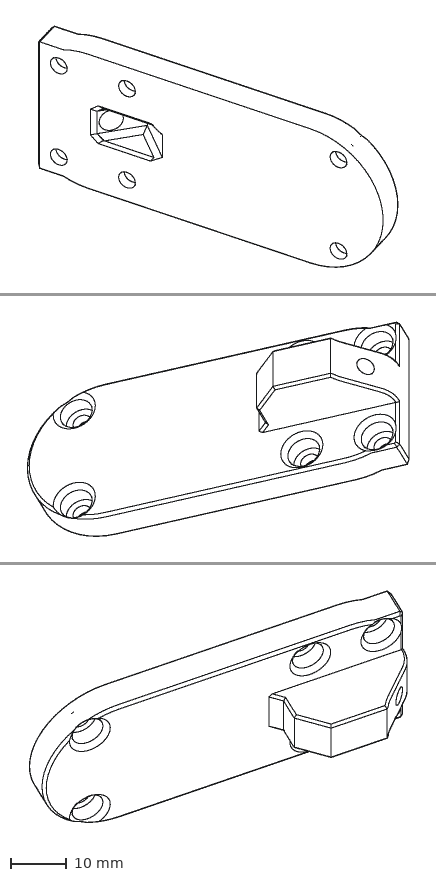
import cadquery as cq
import math

LENGTH = 71.45
HEIGHT = 30.0
DEPTH = 17.6
SLOPE_ANGLE = math.radians(45)

PLATE_THICKNESS = 6.0
END_RADIUS = HEIGHT / 2
LEFT_CENTER_X = 10.4
RIGHT_CENTER_X = LENGTH - END_RADIUS
TAB_HALF_HEIGHT = 14.15
EDGE_CHAMFER = 0.6

SCREW_X = (4.5, 18.6, 62.2)
SCREW_Z = 10.2
SCREW_DIAMETER = 3.4
HEAD_DIAMETER = 6.1
HEAD_DEPTH = 4.0
HEAD_CHAMFER = 1.0

BLOCK_HALF_WIDTH = 4.4
BLOCK_SLOPE_RISE = 8.5
BLOCK_CURL_START_X = 7.2
BLOCK_CURL_END_X = 8.35
BLOCK_CURL_END_Y = 17.2
BLOCK_CURL_RADIUS = 7.0
BLOCK_TOP_LEFT_X = 8.7
BLOCK_TOP_RIGHT_X = 19.8
BLOCK_RIGHT_X = 24.8
BLOCK_FOOT = 2.0
BLOCK_ROUND_RADIUS = 6.1
BLOCK_CHAMFER = 0.5

POCKET_LEFT_X = 11.65
POCKET_RIGHT_X = 25.9
POCKET_HALF_WIDTH = 3.6
POCKET_CORNER_CHAMFER = 1.1
POCKET_RIM_SIDE_WIDTH = 0.65
POCKET_RIM_LEFT_WIDTH = 1.15
POCKET_RIM_CORNER_RISE = 0.35
POCKET_RIM_CORNER_SLOPE = 1.2
POCKET_RIM_DEPTH = 0.5

SLANT_HOLE_SUM = 16.35
SLANT_HOLE_DIAMETER = 3.4
SLANT_BORE_DIAMETER = 4.5
SLANT_BORE_DEPTH = 7.15


def make_plate():
    straight = RIGHT_CENTER_X - LEFT_CENTER_X
    stadium = (
        cq.Workplane("XZ")
        .center((LEFT_CENTER_X + RIGHT_CENTER_X) / 2, 0)
        .slot2D(straight + HEIGHT, HEIGHT)
        .extrude(-PLATE_THICKNESS)
    )
    trim = cq.Workplane("XY").box(
        LEFT_CENTER_X, PLATE_THICKNESS, HEIGHT, centered=(False, False, True)
    ).translate((-LEFT_CENTER_X, 0, 0))
    tab = cq.Workplane("XY").box(
        LEFT_CENTER_X, PLATE_THICKNESS, 2 * TAB_HALF_HEIGHT, centered=(False, False, True)
    )
    plate = stadium.cut(trim).union(tab)
    plate = plate.edges("|Y and <X").chamfer(EDGE_CHAMFER)
    plate = plate.faces(">Y").chamfer(EDGE_CHAMFER)
    return plate.faces("<Y").edges("<X").chamfer(EDGE_CHAMFER)


def make_block():
    base_y = PLATE_THICKNESS - EDGE_CHAMFER
    shoulder_y = DEPTH - (BLOCK_RIGHT_X - BLOCK_TOP_RIGHT_X)
    tangent = BLOCK_ROUND_RADIUS * math.tan(SLOPE_ANGLE / 2)
    leg = tangent * math.cos(SLOPE_ANGLE)
    block = (
        cq.Workplane("XY")
        .moveTo(0, base_y)
        .lineTo(0, BLOCK_SLOPE_RISE - tangent)
        .radiusArc((leg, BLOCK_SLOPE_RISE + leg), BLOCK_ROUND_RADIUS)
        .lineTo(BLOCK_CURL_START_X, BLOCK_CURL_START_X + BLOCK_SLOPE_RISE)
        .radiusArc((BLOCK_CURL_END_X, BLOCK_CURL_END_Y), -BLOCK_CURL_RADIUS)
        .lineTo(BLOCK_TOP_LEFT_X, DEPTH)
        .lineTo(BLOCK_TOP_RIGHT_X, DEPTH)
        .lineTo(BLOCK_RIGHT_X, shoulder_y)
        .lineTo(BLOCK_RIGHT_X, PLATE_THICKNESS + BLOCK_FOOT)
        .lineTo(BLOCK_RIGHT_X + PLATE_THICKNESS + BLOCK_FOOT - base_y, base_y)
        .close()
        .extrude(BLOCK_HALF_WIDTH, both=True)
    )
    return block.faces("|Z").edges("not <Y").chamfer(BLOCK_CHAMFER)


def make_screw_cutter():
    head_radius = HEAD_DIAMETER / 2
    head_y = PLATE_THICKNESS - HEAD_DEPTH
    return (
        cq.Workplane("XY")
        .lineTo(SCREW_DIAMETER / 2, 0)
        .lineTo(SCREW_DIAMETER / 2, head_y)
        .lineTo(head_radius, head_y)
        .lineTo(head_radius, PLATE_THICKNESS - HEAD_CHAMFER)
        .lineTo(head_radius + HEAD_CHAMFER, PLATE_THICKNESS)
        .lineTo(0, PLATE_THICKNESS)
        .close()
        .revolve(360, (0, 0, 0), (0, 1, 0))
    )


def make_pocket():
    half_length = (POCKET_RIGHT_X - POCKET_LEFT_X) / 2
    wedge = (
        cq.Workplane("XY")
        .moveTo(POCKET_LEFT_X, 0)
        .lineTo(POCKET_RIGHT_X, 0)
        .lineTo(POCKET_LEFT_X + half_length, half_length)
        .close()
        .extrude(POCKET_HALF_WIDTH, both=True)
    )
    return wedge.faces("|Z").edges("not <Y").chamfer(POCKET_CORNER_CHAMFER)


def make_pocket_rim():
    """Make the cutter for the bevel around the left end and both sides of the pocket mouth."""

    def outline(left_x, left_z, right_x, side_z):
        right_z = POCKET_HALF_WIDTH - POCKET_CORNER_CHAMFER
        upper = [
            (left_x, left_z),
            (left_x + (side_z - left_z) * POCKET_RIM_CORNER_SLOPE, side_z),
            (right_x - (side_z - right_z) / math.cos(SLOPE_ANGLE), side_z),
            (right_x, right_z),
        ]
        return upper + [(x, -z) for x, z in reversed(upper)]

    inner_left_x = POCKET_LEFT_X + POCKET_RIM_DEPTH
    inner_left_z = POCKET_HALF_WIDTH - POCKET_CORNER_CHAMFER
    outer = outline(
        inner_left_x - POCKET_RIM_LEFT_WIDTH,
        inner_left_z + POCKET_RIM_CORNER_RISE,
        POCKET_RIGHT_X,
        POCKET_HALF_WIDTH + POCKET_RIM_SIDE_WIDTH,
    )
    inner = outline(
        inner_left_x,
        inner_left_z,
        POCKET_RIGHT_X - POCKET_RIM_DEPTH,
        POCKET_HALF_WIDTH,
    )
    return (
        cq.Workplane("XZ")
        .polyline(outer)
        .close()
        .workplane(offset=-POCKET_RIM_DEPTH)
        .polyline(inner)
        .close()
        .loft(ruled=True)
    )


def make_slant_hole():
    mouth = cq.Vector((SLANT_HOLE_SUM + POCKET_LEFT_X) / 2, (SLANT_HOLE_SUM - POCKET_LEFT_X) / 2, 0)
    inward = cq.Vector(-1, 1, 0)
    hole = cq.Solid.makeCylinder(SLANT_HOLE_DIAMETER / 2, DEPTH, mouth, inward)
    bore = cq.Solid.makeCylinder(SLANT_BORE_DIAMETER / 2, SLANT_BORE_DEPTH, mouth, inward)
    return cq.Workplane(obj=hole).union(cq.Workplane(obj=bore))


body = make_plate().union(make_block())

screw_cutter = make_screw_cutter()
for x in SCREW_X:
    for z in (-SCREW_Z, SCREW_Z):
        body = body.cut(screw_cutter.translate((x, 0, z)))

body = body.cut(make_pocket()).cut(make_pocket_rim())
result = body.cut(make_slant_hole())